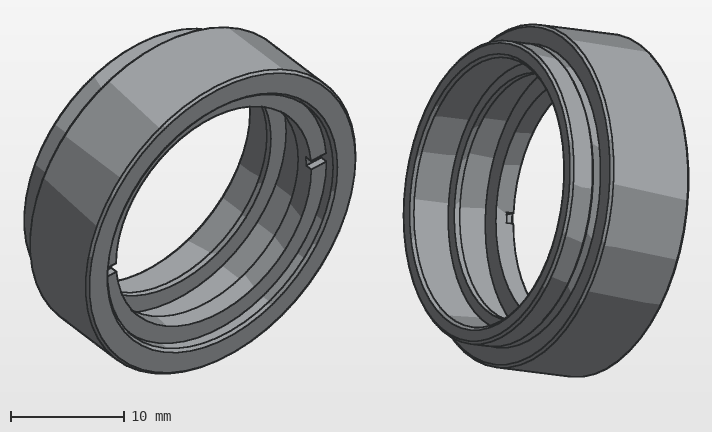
import cadquery as cq

length = 11.4
outer_radius = 15.25
nose_radius = 13.48
relief_radius = 13.05
edge_chamfer = 0.25
relief_start = 2.23
relief_bottom = 2.6
shoulder_x = 3.05
nose_bore_radius = 12.0
bore_chamfer = 0.27

seat_x = 3.9
seat_radius = 12.72
ring_bore_radius = 11.0
spacer_thickness = 0.58
retainer_x = 8.33
retainer_thickness = 1.85

slot_width = 0.95
slot_depth = 0.73
slot_angle = 2.4


def make_ring(start_x, thickness):
    """Flat ring that fills the wide bore, with its -X face at start_x."""
    return (
        cq.Workplane("YZ", origin=(start_x, 0, 0))
        .circle(seat_radius)
        .circle(ring_bore_radius)
        .extrude(thickness)
    )


def make_housing():
    """Revolve the wall section, drawn as (X, radius), about the X axis."""
    nose_cone_top = relief_radius + (shoulder_x - relief_bottom)
    section = [
        (0, nose_bore_radius + bore_chamfer),
        (0, nose_radius - edge_chamfer),
        (edge_chamfer, nose_radius),
        (relief_start, nose_radius),
        (relief_bottom, relief_radius),
        (shoulder_x, nose_cone_top),
        (shoulder_x, outer_radius - edge_chamfer),
        (shoulder_x + edge_chamfer, outer_radius),
        (length - edge_chamfer, outer_radius),
        (length, outer_radius - edge_chamfer),
        (length, seat_radius + bore_chamfer),
        (length - bore_chamfer, seat_radius),
        (seat_x, seat_radius),
        (seat_x, nose_bore_radius),
        (bore_chamfer, nose_bore_radius),
    ]
    return cq.Workplane("XY").polyline(section).close().revolve(360, (0, 0, 0), (1, 0, 0))


def make_spacer():
    """Thin ring against the step at the end of the nose bore."""
    return make_ring(seat_x, spacer_thickness)


def make_retaining_ring():
    """Thicker ring with two opposite spanner slots across its +X face."""
    slots = cq.Workplane("XY").box(
        slot_depth, 2 * seat_radius, slot_width, centered=(False, True, True)
    )
    slot_x = retainer_x + retainer_thickness - slot_depth
    slots = slots.rotate((0, 0, 0), (1, 0, 0), slot_angle).translate((slot_x, 0, 0))
    return make_ring(retainer_x, retainer_thickness).cut(slots)


housing = make_housing()
spacer = make_spacer()
retaining_ring = make_retaining_ring()

result = cq.Compound.makeCompound([housing.val(), spacer.val(), retaining_ring.val()])